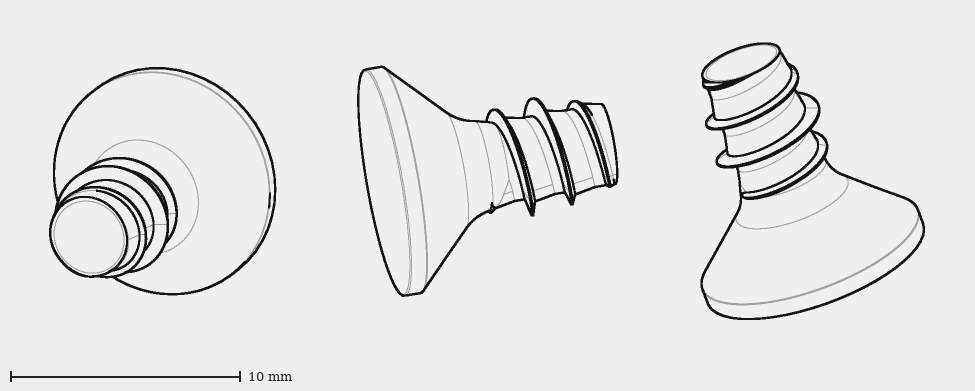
import cadquery as cq
import math

length = 10.0
head_radius = 5.0
head_rim_bottom = 9.24
rim_round = 0.06

neck_top = 6.82
neck_bottom = 5.6
neck_bottom_radius = 1.98
neck_top_radius = head_radius - (head_rim_bottom - neck_top)

core_radius = 1.76
core_top = 4.8
dish_radius = 1.62
dish_depth = 0.07

pitch = 1.79
turns = 4
last_crest_height = 1.33
thread_start = last_crest_height - pitch
thread_top = 5.64
thread_root = 1.7
crest_width = 0.06
flank_reach = 0.22
root_reach = 0.23
shoulder_radius = 1.93
shoulder_length = 1.24
shoulder_step = 0.08

segment_turns = 0.5
rail_spans = 12

crest_radius = 2.51
crest_tip_radius = 1.79
crest_end_radius = 2.08
full_crest_bottom = 2.7
full_crest_top = 4.0


def make_body():
    outline = (
        cq.Workplane("XZ")
        .lineTo(core_radius, 0)
        .lineTo(core_radius, core_top)
        .lineTo(neck_bottom_radius, neck_bottom)
    )
    rise = neck_top - neck_bottom
    run = neck_top_radius - neck_bottom_radius
    chord = math.hypot(run, rise)
    bend = math.radians(45) - math.atan2(run, rise)
    sag = chord / 2 * math.tan(bend / 2)
    arc_middle = (
        (neck_top_radius + neck_bottom_radius) / 2 - sag * rise / chord,
        (neck_top + neck_bottom) / 2 + sag * run / chord,
    )
    outline = (
        outline.threePointArc(arc_middle, (neck_top_radius, neck_top))
        .lineTo(head_radius, head_rim_bottom)
        .lineTo(head_radius, length)
        .lineTo(0, length)
        .close()
    )
    body = outline.revolve(360, (0, 0), (0, 1))
    return body.edges("%CIRCLE").edges(">Z or >>Z[-2]").fillet(rim_round)


def crest_radius_at(height):
    fade = (crest_radius - crest_tip_radius) / full_crest_bottom * (full_crest_bottom - height)
    growth_slope = (crest_radius - crest_end_radius) / (neck_bottom - full_crest_top)
    growth = growth_slope * (height - full_crest_top)
    drop = max(0, fade, growth)
    return max(crest_tip_radius, crest_radius - drop)


def shoulder_radius_at(height):
    return min(shoulder_radius, crest_radius_at(height) - shoulder_step)


def root_radius_at(height):
    return thread_root


def make_rail(radius_at, offset, first_turn):
    """Helical edge over one segment, offset along the axis from the crest."""
    def point(turn):
        crest_height = thread_start + pitch * turn
        radius = radius_at(crest_height)
        angle = 2 * math.pi * turn
        return cq.Vector(radius * math.cos(angle), radius * math.sin(angle), crest_height + offset)

    steps = range(rail_spans + 1)
    points = [point(first_turn + segment_turns * step / rail_spans) for step in steps]
    return cq.Edge.makeSpline(points, parameters=list(steps))


def make_thread_segment(first_turn):
    rails = [
        make_rail(root_radius_at, root_reach, first_turn),
        make_rail(crest_radius_at, crest_width / 2, first_turn),
        make_rail(crest_radius_at, -crest_width / 2, first_turn),
        make_rail(shoulder_radius_at, -flank_reach, first_turn),
        make_rail(root_radius_at, -flank_reach - shoulder_length, first_turn),
    ]
    faces = [
        cq.Face.makeRuledSurface(rail, next_rail)
        for rail, next_rail in zip(rails, rails[1:] + rails[:1])
    ]
    for end in (cq.Edge.startPoint, cq.Edge.endPoint):
        corners = [end(rail) for rail in rails]
        faces.append(cq.Face.makeFromWires(cq.Wire.makePolygon(corners, close=True)))
    segment = cq.Workplane(cq.Solid.makeSolid(cq.Shell.makeShell(faces)))
    shank_span = cq.Workplane("XY").circle(head_radius).extrude(thread_top)
    return segment.intersect(shank_span)


def make_tip_dish():
    return cq.Workplane(cq.Solid.makeCone(dish_radius, 0, dish_depth))


screw = make_body()
for segment in range(round(turns / segment_turns)):
    screw = screw.union(make_thread_segment(segment * segment_turns))
screw = screw.cut(make_tip_dish())
result = screw.rotate((0, 0, 0), (1, 0, 0), -90)